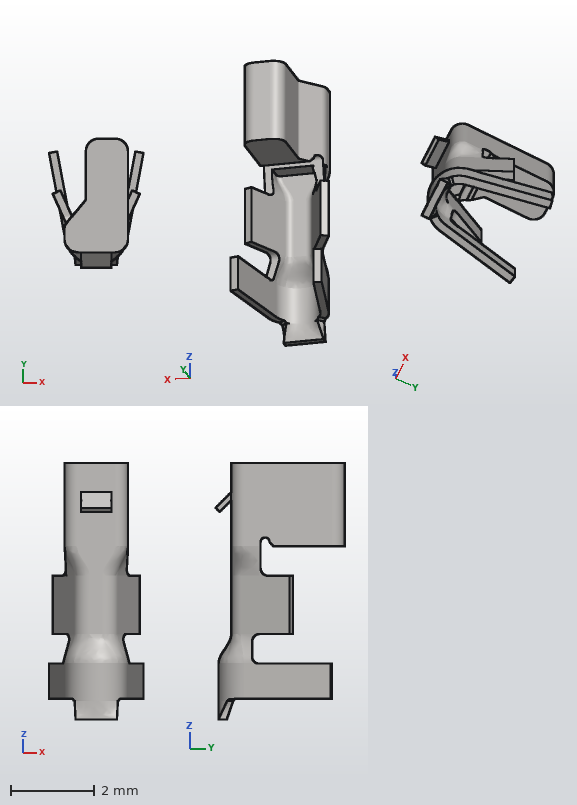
import cadquery as cq
import math

SHEET = 0.2

TAB_HEIGHT = 0.5
LOWER_HEIGHT = 0.85
NECK_HEIGHT = 0.7
UPPER_HEIGHT = 1.4
BOX_HEIGHT = 2.0
LOWER_Z = TAB_HEIGHT
LOWER_NECK_Z = LOWER_Z + LOWER_HEIGHT
UPPER_Z = LOWER_NECK_Z + NECK_HEIGHT
UPPER_NECK_Z = UPPER_Z + UPPER_HEIGHT
BOX_Z = UPPER_NECK_Z + NECK_HEIGHT

BOX_WIDTH = 1.525
BOX_DEPTH = 2.725
BOX_RADIUS = 0.31
STEP_X = -0.25
STEP_Y = 1.255
STEP_ANGLE = 40.0
STEP_RADIUS = BOX_RADIUS - SHEET
HALF_BOX = BOX_WIDTH / 2
SLANT_Y = STEP_Y - (STEP_X + HALF_BOX) / math.tan(math.radians(STEP_ANGLE))

NOTCH_START = 0.71
NOTCH_RADIUS = 0.105
NOTCH_RISE = 0.21
NOTCH_END = 1.01

LANCE_WIDTH = 0.72
LANCE_ROOT_Z = 5.45
LANCE_REACH = 0.375
LANCE_RISE = 0.1
LANCE_OVERLAP = 0.06

UPPER_SPAN = 2.09
UPPER_BASE = 0.3
UPPER_RADIUS = 0.4
UPPER_LEAN = 24.5

LOWER_SPAN = 2.27
LOWER_FLOOR_Y = -0.31
LOWER_RADIUS = 0.755
LOWER_LEAN = 10.7
LOWER_BASE_ANGLE = 45.0
LOWER_CENTRE_Y = LOWER_FLOOR_Y + LOWER_RADIUS

NECK_LEG = 0.985
NECK_STEPS = 4
UPPER_NECK_DEPTH = 0.71
UPPER_NECK_FILLET = 0.17
LOWER_NECK_DEPTH = 0.505
LOWER_NECK_TOP_FILLET = 0.18
LOWER_NECK_BOTTOM_FILLET = 0.15

LEVEL_TOLERANCE = 6.15e-08

TAB_ANGLE = 43.5
TAB_TIP_WIDTH = 0.995
TAB_FLARE = 0.055
TAB_FLARE_ANGLE = 50.0


def polar(centre, radius, angle):
    """Point on a circle, the angle running from -Y towards +X."""
    a = math.radians(angle)
    return centre[0] + radius * math.sin(a), centre[1] - radius * math.cos(a)


def half_skin(centre, radius, base_angle, end_angle, leg, kink, kink_turn):
    """One skin on the +X side: wing end, kink, bend end, bend middle, bend start, floor middle."""
    bend_end = polar(centre, radius, end_angle)
    knee = polar(bend_end, kink, end_angle + 90)
    end = polar(knee, leg - kink, end_angle + 90 + kink_turn)
    middle = polar(centre, radius, (base_angle + end_angle) / 2)
    bend_start = polar(centre, radius, base_angle)
    floor = (0, centre[1] - radius)
    return [end, knee, bend_end, middle, bend_start, floor]


def half_section(centre, radius, base_angle, end_angle, leg, kink, kink_turn=0.0):
    """Outer and inner skin points of one half of a channel."""
    inner_kink = kink - SHEET * math.tan(math.radians(kink_turn / 2))
    outer = half_skin(centre, radius, base_angle, end_angle, leg, kink, kink_turn)
    inner = half_skin(centre, radius - SHEET, base_angle, end_angle, leg, inner_kink, kink_turn)
    return outer, inner


def join_halves(left, right):
    """Full channel section; the left half is given on the +X side and mirrored here."""
    skins = []
    for left_skin, right_skin in zip(left, right):
        mirrored = [(-x, y) for x, y in left_skin]
        skins.append(mirrored + right_skin[-2::-1])
    return skins


def upper_section(leg):
    """Upper barrel: flat floor with two leaning wings."""
    centre = (UPPER_BASE / 2, UPPER_RADIUS)
    half = half_section(centre, UPPER_RADIUS, 0, 90 - UPPER_LEAN, leg, leg / 2)
    return join_halves(half, half)


def lower_section(leg):
    """Lower barrel: round floor with two leaning wings."""
    centre = (0, LOWER_CENTRE_Y)
    half = half_section(centre, LOWER_RADIUS, LOWER_BASE_ANGLE, 90 - LOWER_LEAN, leg, leg / 2)
    return join_halves(half, half)


def box_section(leg):
    """Sheet that follows the front of the box; its left wing turns along the slanted wall."""
    centre = (HALF_BOX - BOX_RADIUS, BOX_RADIUS)
    kink = SLANT_Y - BOX_RADIUS
    left = half_section(centre, BOX_RADIUS, 0, 90, leg, kink, STEP_ANGLE)
    right = half_section(centre, BOX_RADIUS, 0, 90, leg, kink)
    return join_halves(left, right)


def curve(start, middle, end):
    """Arc through three points, or a line when they are level."""
    if abs(middle.y - start.y) < LEVEL_TOLERANCE:
        return cq.Edge.makeLine(start, end)
    return cq.Edge.makeThreePointArc(start, middle, end)


def section_wire(section, z):
    """Closed outline of a channel: outer skin, wing end, inner skin back again, wing end."""
    outer, inner = [[cq.Vector(x, y, z) for x, y in skin] for skin in section]
    back = inner[::-1]
    edges = []
    for p, next_start in ((outer, back[0]), (back, outer[0])):
        edges.append(cq.Edge.makeLine(p[0], p[1]))
        edges.append(cq.Edge.makeLine(p[1], p[2]))
        for i in (2, 4, 6):
            edges.append(curve(p[i], p[i + 1], p[i + 2]))
        edges.append(cq.Edge.makeLine(p[8], p[9]))
        edges.append(cq.Edge.makeLine(p[9], p[10]))
        edges.append(cq.Edge.makeLine(p[10], next_start))
    return cq.Wire.assembleEdges(edges)


def barrel(section, z, height):
    """Straight channel of constant section."""
    body = cq.Solid.extrudeLinear(section_wire(section, z), [], cq.Vector(0, 0, height))
    return cq.Workplane(body)


def blend(low, high, share):
    """Section lying between two others, point by point."""
    return [
        [(a[0] + (b[0] - a[0]) * share, a[1] + (b[1] - a[1]) * share) for a, b in zip(low_skin, high_skin)]
        for low_skin, high_skin in zip(low, high)
    ]


def neck(low, high, z, depth, bottom_fillet, top_fillet):
    """Channel that changes from one section to another with an S-shaped run, trimmed at its rear edge."""
    wires = []
    for i in range(NECK_STEPS + 1):
        climb = i / NECK_STEPS
        share = climb * climb * (3 - 2 * climb)
        wires.append(section_wire(blend(low, high, share), z + NECK_HEIGHT * climb))
    body = cq.Workplane(cq.Solid.makeLoft(wires))
    top = z + NECK_HEIGHT
    rear = depth + NECK_LEG
    trim = cq.Workplane("YZ").moveTo(rear, z).lineTo(depth + bottom_fillet, z)
    trim = trim.radiusArc((depth, z + bottom_fillet), bottom_fillet)
    trim = trim.lineTo(depth, top - top_fillet)
    if top_fillet:
        trim = trim.radiusArc((depth + top_fillet, top), top_fillet)
    trim = trim.lineTo(rear, top).close().extrude(LOWER_SPAN, both=True)
    return body.cut(trim)


def contact_box():
    """Solid box with a wide front half, a narrow rear half and rounded upright edges."""
    outline = [
        (-HALF_BOX, 0),
        (HALF_BOX, 0),
        (HALF_BOX, BOX_DEPTH),
        (STEP_X, BOX_DEPTH),
        (STEP_X, STEP_Y),
        (-HALF_BOX, SLANT_Y),
    ]
    box = cq.Workplane("XY").workplane(offset=BOX_Z).polyline(outline).close().extrude(BOX_HEIGHT)
    step_edge = cq.selectors.NearestToPointSelector((STEP_X, STEP_Y, BOX_Z + BOX_HEIGHT / 2))
    box = box.edges(step_edge).fillet(STEP_RADIUS)
    for x, y in outline[:4] + outline[5:]:
        corner = cq.selectors.NearestToPointSelector((x, y, BOX_Z + BOX_HEIGHT / 2))
        box = box.edges(corner).fillet(BOX_RADIUS)
    return box.cut(relief_notch())


def relief_notch():
    """Round-topped cutter that frees the neck from the rear of the box."""
    side_z = BOX_Z + NOTCH_RISE - NOTCH_RADIUS
    far_side = NOTCH_START + 2 * NOTCH_RADIUS
    profile = cq.Workplane("YZ").moveTo(NOTCH_START, BOX_Z).lineTo(NOTCH_START, side_z)
    profile = profile.threePointArc((NOTCH_START + NOTCH_RADIUS, BOX_Z + NOTCH_RISE), (far_side, side_z))
    profile = profile.lineTo(NOTCH_END, BOX_Z).close()
    return profile.extrude(BOX_WIDTH, both=True)


def lance():
    """Tongue that slopes down and out of the front wall."""
    tip_z = LANCE_ROOT_Z - LANCE_REACH
    profile = [
        (LANCE_OVERLAP, LANCE_ROOT_Z + LANCE_OVERLAP),
        (-LANCE_REACH, tip_z),
        (LANCE_RISE - LANCE_REACH, tip_z - LANCE_RISE),
        (LANCE_OVERLAP, LANCE_ROOT_Z + LANCE_OVERLAP - 2 * LANCE_RISE),
    ]
    return cq.Workplane("YZ").polyline(profile).close().extrude(LANCE_WIDTH / 2, both=True)


def arc_band(half_angle, z):
    """Closed strip of the lower barrel's floor arc."""
    centre = (0, LOWER_CENTRE_Y)
    inner_radius = LOWER_RADIUS - SHEET
    band = cq.Workplane("XY").workplane(offset=z).moveTo(*polar(centre, LOWER_RADIUS, -half_angle))
    band = band.threePointArc(polar(centre, LOWER_RADIUS, 0), polar(centre, LOWER_RADIUS, half_angle))
    band = band.lineTo(*polar(centre, inner_radius, half_angle))
    band = band.threePointArc(polar(centre, inner_radius, 0), polar(centre, inner_radius, -half_angle))
    return band.close().val()


def cutoff_tab():
    """Tab that flares into the lower barrel and flattens from its floor arc to a straight tip."""
    half_tip = TAB_TIP_WIDTH / 2
    back_y = LOWER_FLOOR_Y + SHEET
    tip = cq.Workplane("XY").moveTo(-half_tip, LOWER_FLOOR_Y).lineTo(half_tip, LOWER_FLOOR_Y)
    tip = tip.lineTo(half_tip, back_y).lineTo(-half_tip, back_y).close().val()
    sections = [tip, arc_band(TAB_ANGLE, LOWER_Z - TAB_FLARE), arc_band(TAB_FLARE_ANGLE, LOWER_Z)]
    return cq.Workplane(cq.Solid.makeLoft(sections, ruled=True))


def leg_length(span, base, radius, lean):
    """Straight wing length that makes the barrel reach its overall span."""
    a = math.radians(lean)
    return (span / 2 - base / 2 - radius * math.cos(a)) / math.sin(a)


lower_leg = leg_length(LOWER_SPAN, 0, LOWER_RADIUS, LOWER_LEAN)
upper_leg = leg_length(UPPER_SPAN, UPPER_BASE, UPPER_RADIUS, UPPER_LEAN)

lower_barrel = barrel(lower_section(lower_leg), LOWER_Z, LOWER_HEIGHT)
upper_barrel = barrel(upper_section(upper_leg), UPPER_Z, UPPER_HEIGHT)
lower_neck = neck(
    lower_section(NECK_LEG), upper_section(NECK_LEG), LOWER_NECK_Z,
    LOWER_NECK_DEPTH, LOWER_NECK_BOTTOM_FILLET, LOWER_NECK_TOP_FILLET,
)
upper_neck = neck(
    upper_section(NECK_LEG), box_section(NECK_LEG), UPPER_NECK_Z, UPPER_NECK_DEPTH, UPPER_NECK_FILLET, 0,
)

result = lower_barrel.union(cutoff_tab()).union(lower_neck).union(upper_barrel)
result = result.union(upper_neck).union(contact_box()).union(lance())